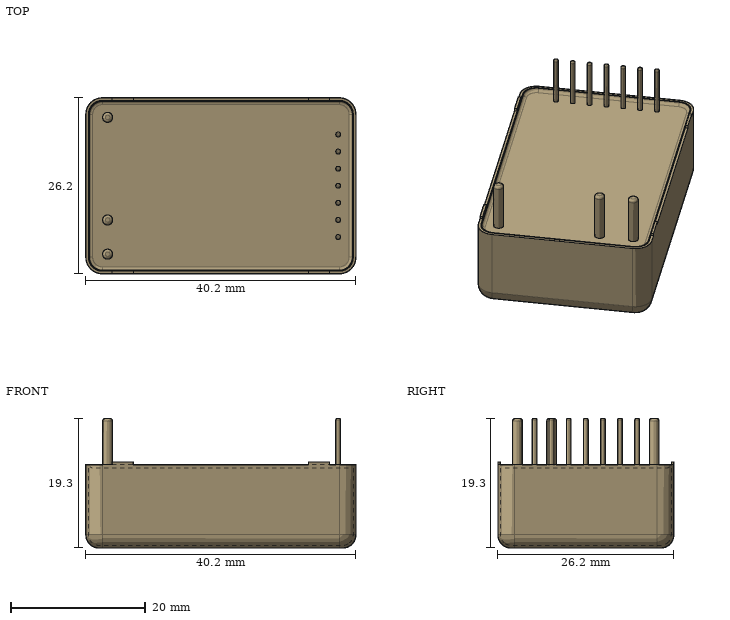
import cadquery as cq

LENGTH = 40.2
WIDTH = 26.2
RIM_HEIGHT = 12.42
CORNER_RADIUS = 2.5
BASE_FILLET = 2.0
WALL = 0.4
FLOOR = WALL
CAVITY_FLOOR_FILLET = BASE_FILLET - WALL

TAB_LENGTH = 3.18
TAB_HEIGHT = 0.4
TAB_OFFSET = 14.6

CAVITY_LENGTH = LENGTH - 2 * WALL
CAVITY_WIDTH = WIDTH - 2 * WALL
CAVITY_RADIUS = CORNER_RADIUS - WALL
MENISCUS_RADIUS = 0.5
MENISCUS_LIP = 0.14
POTTING_LEVEL = RIM_HEIGHT - MENISCUS_RADIUS

PIN_TOP = 19.3
POWER_PIN_OUTER_Y = 10.17
PIN_PITCH = POWER_PIN_OUTER_Y / 4
POWER_PIN_X = -16.85
POWER_PIN_STEPS = (4, -2, -4)
POWER_PIN_DIAMETER = 1.5
POWER_PIN_TIP_FILLET = 0.4
SIGNAL_PIN_X = 17.45
SIGNAL_PIN_STEPS = range(-3, 4)
SIGNAL_PIN_DIAMETER = 0.72
SIGNAL_PIN_TIP_FILLET = 0.2


def rounded_block(length, width, corner_radius, bottom, top):
    """Upright block centred on Z with rounded vertical edges."""
    block = cq.Workplane("XY", origin=(0, 0, bottom)).rect(length, width).extrude(top - bottom)
    return block.edges("|Z").fillet(corner_radius)


def interior_block():
    """Space inside the housing, filled by the potting."""
    block = rounded_block(CAVITY_LENGTH, CAVITY_WIDTH, CAVITY_RADIUS, FLOOR, RIM_HEIGHT)
    return block.faces("<Z").edges().fillet(CAVITY_FLOOR_FILLET)


def make_housing():
    """Shell with the four rim tabs."""
    shell = rounded_block(LENGTH, WIDTH, CORNER_RADIUS, 0, RIM_HEIGHT)
    shell = shell.faces("<Z").edges().fillet(BASE_FILLET)
    tab_centre_y = (WIDTH - WALL) / 2
    tabs = (
        cq.Workplane("XY", origin=(0, 0, RIM_HEIGHT))
        .rarray(2 * TAB_OFFSET, 2 * tab_centre_y, 2, 2)
        .rect(TAB_LENGTH, WALL)
        .extrude(TAB_HEIGHT)
    )
    return shell.cut(interior_block()).union(tabs)


def make_pin(x, y, diameter, tip_fillet):
    """Round pin rising from the potting level, with a rounded tip."""
    pin = (
        cq.Workplane("XY", origin=(x, y, POTTING_LEVEL))
        .circle(diameter / 2)
        .extrude(PIN_TOP - POTTING_LEVEL)
    )
    return pin.faces(">Z").edges().fillet(tip_fillet)


def make_potting():
    """Filled interior and the pins moulded into it."""
    basin = rounded_block(
        CAVITY_LENGTH - 2 * MENISCUS_LIP,
        CAVITY_WIDTH - 2 * MENISCUS_LIP,
        CAVITY_RADIUS - MENISCUS_LIP,
        POTTING_LEVEL,
        PIN_TOP,
    )
    basin = basin.faces("<Z").edges().fillet(MENISCUS_RADIUS)
    potting = interior_block().cut(basin)
    for step in POWER_PIN_STEPS:
        pin = make_pin(POWER_PIN_X, step * PIN_PITCH, POWER_PIN_DIAMETER, POWER_PIN_TIP_FILLET)
        potting = potting.union(pin)
    for step in SIGNAL_PIN_STEPS:
        pin = make_pin(SIGNAL_PIN_X, step * PIN_PITCH, SIGNAL_PIN_DIAMETER, SIGNAL_PIN_TIP_FILLET)
        potting = potting.union(pin)
    return potting


housing = make_housing()
potting_with_pins = make_potting()

result = cq.Compound.makeCompound([housing.val(), potting_with_pins.val()])